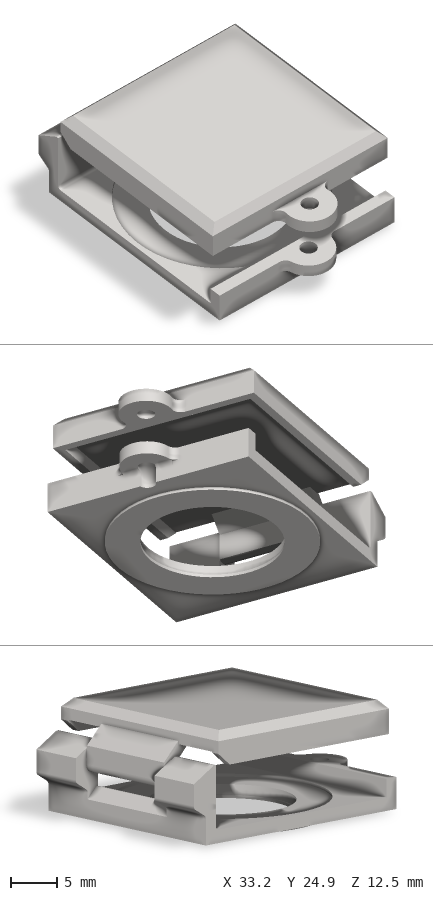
import cadquery as cq
import math


WIDTH = 24.9
WALL = 1.5
EAR_RADIUS = 3.0
EAR_THICKNESS = WALL
EAR_FILLET = 1.0
EAR_HOLE_DIAMETER = 2.0

BASE_LENGTH = 28.05
BASE_LEFT = -BASE_LENGTH / 2
BASE_RIGHT = BASE_LENGTH / 2
RIM_HEIGHT = 3.52
FLOOR_FILLET = 0.4
SEAT_DIAMETER = 23.7
SEAT_DEPTH = 0.33
FOOT_DIAMETER = 23.2
FOOT_HEIGHT = 0.33
OPENING_DIAMETER = 15.95
FOOT_OPENING_DIAMETER = 15.55

POST_INNER_X = BASE_LEFT + WALL
POST_OUTER_X = -15.8
POST_TOP = 8.65
POST_TOP_WIDTH = 0.3
POST_FACE_TOP = 6.98
POST_FACE_BOTTOM = 4.3
POST_FOOT = 3.2
POST_FILLET = 0.5
WINDOW_WIDTH = 12.45
SILL_OUTER_Z = 2.2
SILL_INNER_Z = 3.5

BASE_EAR_X = 14.25
EAR_CORNER_FILLET = 0.45

LID_LEFT = -12.17
LID_RIGHT = 12.9
LID_BOTTOM = 8.4
LID_TOP = 12.17
LID_CHAMFER = 0.95
LID_RIGHT_CHAMFER = 0.83
LID_WALL = 1.0
LID_RIM = EAR_THICKNESS
LID_ROOF = LID_BOTTOM + LID_RIM
LID_CUT_LENGTH = 1.65
LID_CUT_HEIGHT = 1.4
LID_EAR_X = 14.45

PIVOT_DIAMETER = 1.8
PIVOT_X = -13.35
PIVOT_Z = 6.05
PIVOT_UPPER_Z = 6.45
ARM_WIDTH = 12.17
ARM_BACK_X = -12.27
ARM_SHOULDER_Z = 8.18


def extrude_along_y(profile, width):
    """Extrude an XZ profile by the given width, centred on Y = 0."""
    return profile.extrude(width / 2, both=True)


def make_block(x_min, x_max, width, z_min, z_max):
    """Box between the given X and Z limits, centred on Y = 0."""
    return cq.Workplane("XY").box(x_max - x_min, width, z_max - z_min).translate(
        ((x_min + x_max) / 2, 0, (z_min + z_max) / 2)
    )


def make_disc(center_x, diameter, z_min, z_max):
    return cq.Workplane("XY", origin=(center_x, 0, z_min)).circle(diameter / 2).extrude(z_max - z_min)


def make_ear(center_x, wall_x, bottom):
    """Rounded ear on the wall face X = wall_x, with a fillet on each side of its root."""
    top = bottom + EAR_THICKNESS
    fillet_x = wall_x + EAR_FILLET
    center_distance = EAR_RADIUS + EAR_FILLET
    fillet_y = math.sqrt(center_distance**2 - (fillet_x - center_x) ** 2)
    tangent_x = center_x + (fillet_x - center_x) * EAR_RADIUS / center_distance

    root = make_block(wall_x, tangent_x, 2 * fillet_y, bottom, top)
    for side in (-1, 1):
        root = root.cut(make_disc(fillet_x, 2 * EAR_FILLET, bottom, top).translate((0, side * fillet_y, 0)))
    round_end = make_disc(center_x, 2 * EAR_RADIUS, bottom, top)
    behind_wall = make_block(wall_x - 2 * EAR_RADIUS, wall_x, 2 * EAR_RADIUS, bottom, top)
    return root.union(round_end.cut(behind_wall))


def make_base():
    """Base plate with a rim, two hinge posts, a round opening and an ear."""
    base = extrude_along_y(
        cq.Workplane("XZ").polyline(
            [
                (BASE_LEFT, 0),
                (BASE_RIGHT, 0),
                (BASE_RIGHT, RIM_HEIGHT),
                (BASE_RIGHT - WALL, RIM_HEIGHT),
                (BASE_RIGHT - WALL, WALL),
                (POST_INNER_X, WALL),
                (POST_INNER_X, POST_TOP),
                (POST_INNER_X - POST_TOP_WIDTH, POST_TOP),
                (POST_OUTER_X, POST_FACE_TOP),
                (POST_OUTER_X, POST_FACE_BOTTOM),
                (BASE_LEFT, POST_FOOT),
            ]
        ).close(),
        WIDTH,
    )
    for x, z in ((POST_OUTER_X, POST_FACE_BOTTOM), (BASE_LEFT, POST_FOOT)):
        base = base.edges(cq.selectors.NearestToPointSelector((x, 0, z))).fillet(POST_FILLET)
    floor_corner = cq.selectors.NearestToPointSelector((POST_INNER_X, 0, WALL))
    base = base.edges(floor_corner).fillet(FLOOR_FILLET)

    window = extrude_along_y(
        cq.Workplane("XZ").polyline(
            [
                (POST_OUTER_X, SILL_OUTER_Z),
                (BASE_LEFT, SILL_OUTER_Z),
                (BASE_LEFT + SILL_INNER_Z - SILL_OUTER_Z, SILL_INNER_Z),
                (POST_INNER_X, SILL_INNER_Z),
                (POST_INNER_X, POST_TOP),
                (POST_OUTER_X, POST_TOP),
            ]
        ).close(),
        WINDOW_WIDTH,
    )
    base = base.cut(window)

    base = base.union(make_disc(0, FOOT_DIAMETER, -FOOT_HEIGHT, WALL - SEAT_DEPTH))
    base = base.cut(make_disc(0, SEAT_DIAMETER, WALL - SEAT_DEPTH, WALL))
    base = base.cut(make_disc(0, OPENING_DIAMETER, 0, WALL))
    base = base.cut(make_disc(0, FOOT_OPENING_DIAMETER, -FOOT_HEIGHT, 0))

    ear_bottom = RIM_HEIGHT - EAR_THICKNESS
    base = base.union(make_ear(BASE_EAR_X, BASE_RIGHT, ear_bottom))
    corner_fillet = extrude_along_y(
        cq.Workplane("XZ")
        .moveTo(BASE_RIGHT, ear_bottom)
        .lineTo(BASE_RIGHT, ear_bottom - EAR_CORNER_FILLET)
        .radiusArc((BASE_RIGHT + EAR_CORNER_FILLET, ear_bottom), EAR_CORNER_FILLET)
        .close(),
        2 * EAR_RADIUS,
    )
    base = base.union(corner_fillet)
    return base.cut(make_disc(BASE_EAR_X, EAR_HOLE_DIAMETER, 0, RIM_HEIGHT))


def make_arm():
    """Sloping hinge arm with a rounded lower end, and a pivot that spans the window."""
    radius = PIVOT_DIAMETER / 2
    front_x = PIVOT_X - radius
    bottom = PIVOT_Z - radius
    outer_slope_top = ARM_SHOULDER_Z + LID_LEFT - front_x
    inner_slope_x = ARM_BACK_X + LID_ROOF - ARM_SHOULDER_Z
    arm = (
        cq.Workplane("XZ")
        .moveTo(front_x, PIVOT_Z)
        .lineTo(front_x, ARM_SHOULDER_Z)
        .lineTo(LID_LEFT, outer_slope_top)
        .lineTo(inner_slope_x, outer_slope_top)
        .lineTo(inner_slope_x, LID_ROOF)
        .lineTo(ARM_BACK_X, ARM_SHOULDER_Z)
        .lineTo(ARM_BACK_X, bottom)
        .lineTo(PIVOT_X, bottom)
        .radiusArc((front_x, PIVOT_Z), radius)
        .close()
    )
    pivot = (
        cq.Workplane("XZ")
        .moveTo(POST_INNER_X, bottom)
        .lineTo(PIVOT_X, bottom)
        .radiusArc((front_x, PIVOT_Z), radius)
        .lineTo(front_x, PIVOT_UPPER_Z)
        .radiusArc((PIVOT_X, PIVOT_UPPER_Z + radius), radius)
        .lineTo(POST_INNER_X, PIVOT_UPPER_Z + radius)
        .close()
    )
    return extrude_along_y(arm, ARM_WIDTH).union(extrude_along_y(pivot, WINDOW_WIDTH))


def make_lid():
    """Hollow chamfered lid with an ear and a hinge arm."""
    lid = make_block(LID_LEFT, LID_RIGHT, WIDTH, LID_BOTTOM, LID_TOP)
    lid = lid.faces(">Z").edges("<X or <Y or >Y").chamfer(LID_CHAMFER)
    lid = lid.faces(">Z").edges(">X").chamfer(LID_CHAMFER, LID_RIGHT_CHAMFER)

    lid = lid.cut(make_block(LID_LEFT, LID_RIGHT - LID_WALL, WIDTH - 2 * LID_WALL, LID_BOTTOM, LID_ROOF))

    cut = cq.Workplane("XZ").polyline(
        [
            (LID_LEFT, LID_BOTTOM),
            (LID_LEFT + LID_CUT_LENGTH, LID_BOTTOM),
            (LID_LEFT, LID_BOTTOM + LID_CUT_HEIGHT),
        ]
    ).close()
    lid = lid.cut(extrude_along_y(cut, WIDTH))

    lid = lid.union(make_ear(LID_EAR_X, LID_RIGHT, LID_BOTTOM))
    lid = lid.cut(make_disc(LID_EAR_X, EAR_HOLE_DIAMETER, LID_BOTTOM, LID_ROOF))
    return lid.union(make_arm())


base = make_base()
lid = make_lid()
result = cq.Compound.makeCompound([base.val(), lid.val()])